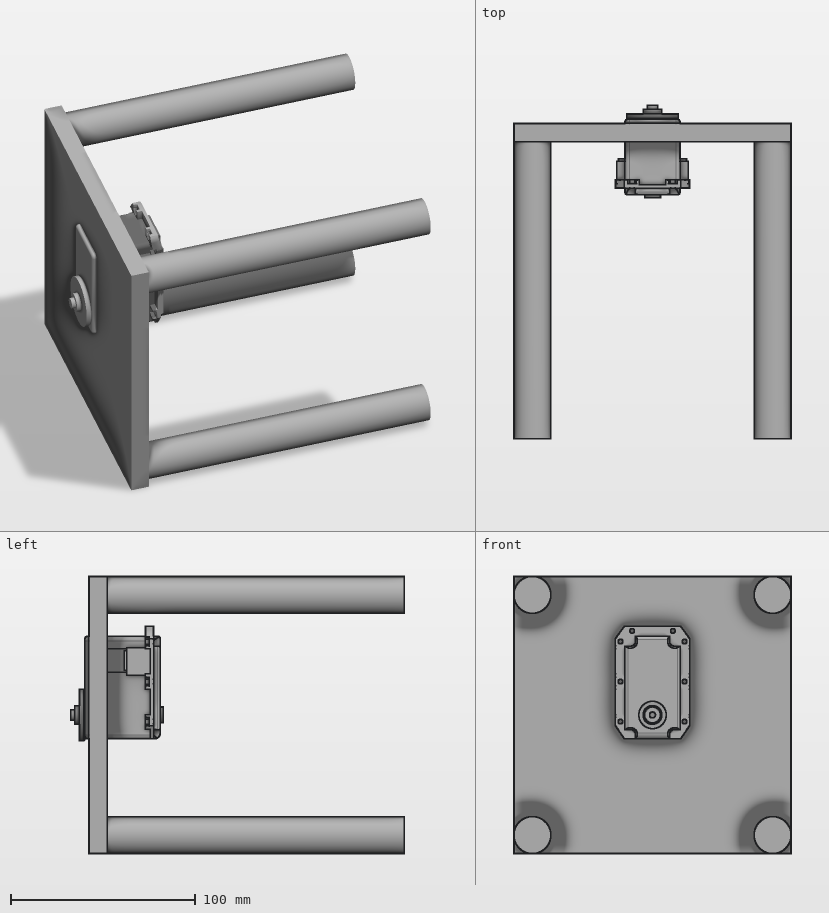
import cadquery as cq


plate_side = 150.0
plate_thickness = 10.0
leg_diameter = 20.0
leg_length = 160.5
leg_offset = (plate_side - leg_diameter) / 2

servo_overhang = 10.0
case_width = 29.8
case_top = 42.5
case_bottom = -13.0
case_edge_radius = 2.3
case_back = 12.3
case_front = -28.7
back_radius = 1.6

cover_notch_x = 9.2
top_notch_z = 37.2
bottom_notch_z = -8.0
cover_radius = 1.6
cover_bottom_radius = 3.5
screw_relief_radius = 2.7
screw_relief_front_radius = 3.8

flange_width = 40.2
flange_top = 48.0
flange_front = -25.0
flange_web_back = -23.3
flange_pad_back = -20.5
flange_flat_half = 15.2
flange_top_corner_z = 41.3
flange_bottom_corner_z = -5.8
side_pads = [(35.7, flange_top), (13.9, 22.4), (-7.8, 0)]
top_gap_half = 7.0

hole_diameter = 2.5
side_hole_x = 17.3
side_hole_mid_z = 18.0
side_hole_pitch = 21.6
top_hole_x = 11.0
top_hole_z = 45.5
nut_width = 4.7
nut_slot_depth = 2.0

connector_width = 38.8
connector_top = 36.5
connector_bottom = 21.5
connector_back = -10.5
tongue_width = 37.0
tongue_length = 1.5
tongue_top = 34.6
tongue_bottom = 24.2
cable_recess_depth = 0.5
cable_recess_top = 35.9
cable_recess_bottom = 23.1

horn_diameter = 28.0
horn_back = 15.2
horn_chamfer = 0.5
hub_diameter = 10.1
hub_back = 17.7
shaft_diameter = 5.8
shaft_back = plate_thickness + servo_overhang
boss_diameter = 8.7
boss_front = -30.3
boss_hole_diameter = 3.2
boss_hole_depth = 1.6
recess_diameter = 14.8
recess_depth = 0.4
groove_diameter = 10.1
groove_depth = 0.7


def block(x_range, y_range, z_range):
    """Box between the given pairs of limits."""
    spans = (x_range, y_range, z_range)
    sizes = [high - low for low, high in spans]
    return cq.Workplane("XY").box(*sizes, centered=False).translate(tuple(low for low, high in spans))


def rod(diameter, y_start, y_end, x=0, z=0):
    """Cylinder along Y."""
    plane = cq.Workplane("XZ", origin=(x, y_start, z))
    return plane.circle(diameter / 2).extrude(y_start - y_end)


def case_prism(y_start, y_end):
    """Case cross-section with rounded long edges."""
    prism = block((-case_width / 2, case_width / 2), (y_start, y_end), (case_bottom, case_top))
    return prism.edges("|Y").fillet(case_edge_radius)


def make_frame():
    half = plate_side / 2
    frame = block((-half, half), (0, plate_thickness), (-half, half))
    for x in (-leg_offset, leg_offset):
        for z in (-leg_offset, leg_offset):
            frame = frame.union(rod(leg_diameter, -leg_length, 0, x, z))
    return frame.cut(case_prism(0, plate_thickness))


def corner_notch(side, z_inner, outward):
    """Cutter for one cover corner; outward is +1 for the top corners and -1 for the bottom ones."""
    reach = case_width
    x_limits = sorted((side * cover_notch_x, side * reach))
    z_limits = sorted((z_inner, z_inner + outward * reach))
    notch = block(x_limits, (case_front, flange_front), z_limits)
    return notch.edges("|Y").fillet(screw_relief_radius)


def screw_relief(side, z_inner, outward):
    """Conical cutter centred on the rounded inner corner of a notch, widest at the front."""
    x = side * (cover_notch_x + screw_relief_radius)
    z = z_inner + outward * screw_relief_radius
    cone = cq.Solid.makeCone(screw_relief_front_radius, screw_relief_radius, flange_front - case_front,
                             pnt=cq.Vector(x, case_front, z), dir=cq.Vector(0, 1, 0))
    return cq.Workplane(cone)


def make_front_cover():
    """Raised cover with a rounded front rim and a flared screw notch in each corner."""
    cover = block((-case_width / 2, case_width / 2), (case_front, flange_front), (case_bottom, case_top))
    corners = []
    for side in (-1, 1):
        corners.append((side, top_notch_z, 1))
        corners.append((side, bottom_notch_z, -1))
    for corner in corners:
        cover = cover.cut(corner_notch(*corner))
    cover = cover.faces("<Y").edges("<Z").fillet(cover_bottom_radius)
    for rim_edge in (">Z", "<X", ">X"):
        cover = cover.faces("<Y").edges(rim_edge).fillet(cover_radius)
    for corner in corners:
        cover = cover.cut(screw_relief(*corner))
    return cover


def flange_layer(y_start, y_end):
    half = flange_width / 2
    outline = [
        (-flange_flat_half, flange_top), (flange_flat_half, flange_top),
        (half, flange_top_corner_z), (half, flange_bottom_corner_z),
        (flange_flat_half, case_bottom), (-flange_flat_half, case_bottom),
        (-half, flange_bottom_corner_z), (-half, flange_top_corner_z),
    ]
    return cq.Workplane("XZ", origin=(0, y_start, 0)).polyline(outline).close().extrude(y_start - y_end)


def nut_slot(x, z, direction):
    """Hexagonal nut pocket in the back of a pad, open toward direction (degrees from +X to +Z)."""
    slot_front = flange_pad_back - nut_slot_depth
    reach = flange_top - top_hole_z + nut_width / 2
    hexagon = cq.Workplane("XZ").polygon(6, nut_width, circumscribed=True)
    pocket = hexagon.extrude(-nut_slot_depth)
    channel = block((0, reach), (0, nut_slot_depth), (-nut_width / 2, nut_width / 2))
    slot = pocket.union(channel).rotate((0, 0, 0), (0, 1, 0), -direction)
    return slot.translate((x, slot_front, z))


def make_flange():
    """Thin web with thick pads, each pad with through holes and nut slots open to the edge."""
    half = flange_width / 2
    pads = flange_layer(flange_web_back, flange_pad_back)
    pad_zone = None
    for side in (-1, 1):
        for z_low, z_high in side_pads:
            zone = block(sorted((side * top_gap_half, side * half)),
                         (flange_web_back, flange_pad_back), (z_low, z_high))
            pad_zone = zone if pad_zone is None else pad_zone.union(zone)
    flange = flange_layer(flange_front, flange_web_back).union(pads.intersect(pad_zone))

    for side in (-1, 1):
        outward = 0 if side > 0 else 180
        holes = [(side * top_hole_x, top_hole_z, 90)]
        for step in (-1, 0, 1):
            holes.append((side * side_hole_x, side_hole_mid_z + step * side_hole_pitch, outward))
        for x, z, direction in holes:
            flange = flange.cut(nut_slot(x, z, direction))
            flange = flange.cut(rod(hole_diameter, flange_front, flange_pad_back, x, z))
    return flange


def add_connectors(servo):
    """Connector block across the case, and a shallow cable recess from it to the plate."""
    half = connector_width / 2
    servo = servo.union(block((-half, half), (flange_web_back, connector_back),
                              (connector_bottom, connector_top)))
    for side in (-1, 1):
        x_limits = sorted((side * (case_width / 2 - cable_recess_depth), side * case_width / 2))
        servo = servo.cut(block(x_limits, (connector_back, 0), (cable_recess_bottom, cable_recess_top)))
    tongue = block((-tongue_width / 2, tongue_width / 2), (connector_back, connector_back + tongue_length),
                   (tongue_bottom, tongue_top))
    return servo.union(tongue)


def make_servo():
    servo = case_prism(flange_front, case_back).faces(">Y").edges().fillet(back_radius)
    servo = servo.union(make_flange()).union(make_front_cover())
    servo = add_connectors(servo)
    horn = rod(horn_diameter, case_back, horn_back).faces("<Y").chamfer(horn_chamfer)
    servo = servo.union(horn)
    servo = servo.union(rod(hub_diameter, horn_back, hub_back))
    servo = servo.union(rod(shaft_diameter, hub_back, shaft_back))
    servo = servo.cut(rod(recess_diameter, case_front, case_front + recess_depth))
    servo = servo.cut(rod(groove_diameter, case_front, case_front + groove_depth))
    servo = servo.union(rod(boss_diameter, boss_front, case_front + groove_depth))
    return servo.cut(rod(boss_hole_diameter, boss_front, boss_front + boss_hole_depth))


frame = make_frame()
servo = make_servo()
result = cq.Compound.makeCompound([frame.solids().val(), servo.solids().val()])